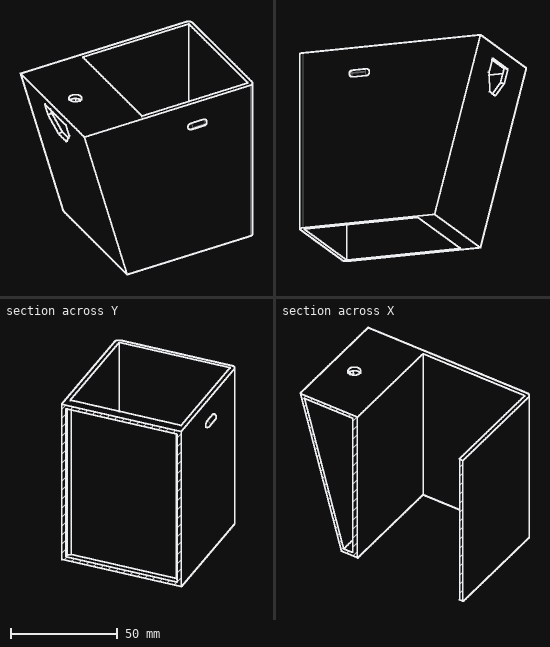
import cadquery as cq
import math

length = 91.0
width = 61.15
width_over_ribs = 64.2
height = 85.0
base_length = 68.1
back_y = length / 2
front_y = -length / 2
lean = (length - base_length) / height
back_corner_radius = 2.2

wall = 2.3
well_width = width - 2 * wall
back_wall = 2.1
well_length = 56.8
well_front_y = back_y - back_wall - well_length

chamber_wall = 2.2
front_wall = 2.1
chamber_corner = 1.5
chamber_back_y = well_front_y - chamber_wall
chamber_floor_z = chamber_wall
chamber_roof_z = height - chamber_wall

hole_diameter = 6.0
hole_from_front = 12.3

opening_width = 20.3
opening_base_width = 7.5
opening_top_drop = 5.8
opening_shoulder_drop = 12.6
opening_bottom_drop = 20.0
opening_cut_depth = 10.9

rib_length = 10.0
rib_height = 3.3
rib_protrusion = (width_over_ribs - width) / 2
rib_root = 0.9
rib_edge_radius = 1.5
rib_from_back = 30.6
rib_z = height - 12.6


def front_face_y(z):
    """Y of the leaning outer front face at height z."""
    return front_y + lean * (height - z)


def make_body():
    profile = [
        (back_y, 0),
        (back_y, height),
        (front_y, height),
        (front_face_y(0), 0),
    ]
    body = cq.Workplane("YZ").polyline(profile).close().extrude(width / 2, both=True)
    return body.edges("|Z and >Y").fillet(back_corner_radius)


def make_well():
    well = cq.Workplane("XY").box(well_width, well_length, height, centered=(True, False, False))
    return well.translate((0, well_front_y, 0))


def make_chamber():
    profile = [
        (chamber_back_y, chamber_floor_z),
        (chamber_back_y, chamber_roof_z),
        (front_face_y(chamber_roof_z) + front_wall, chamber_roof_z),
        (front_face_y(chamber_floor_z) + front_wall, chamber_floor_z),
    ]
    chamber = cq.Workplane("YZ").polyline(profile).close().extrude(well_width / 2, both=True)
    return chamber.edges("|Z and >Y").chamfer(chamber_corner)


def make_roof_hole():
    return (
        cq.Workplane("XY", origin=(0, front_y + hole_from_front, chamber_roof_z))
        .circle(hole_diameter / 2)
        .extrude(chamber_wall)
    )


def make_opening():
    """Flat-topped opening with sloping lower corners, cut square to the leaning face."""
    slope_stretch = math.hypot(1, lean)
    top = -opening_top_drop * slope_stretch
    shoulder = -opening_shoulder_drop * slope_stretch
    bottom = -opening_bottom_drop * slope_stretch
    outline = [
        (-opening_width / 2, top),
        (opening_width / 2, top),
        (opening_width / 2, shoulder),
        (opening_base_width / 2, bottom),
        (-opening_base_width / 2, bottom),
        (-opening_width / 2, shoulder),
    ]
    leaning_face = cq.Plane(origin=(0, front_y, height), xDir=(1, 0, 0), normal=(0, -1, -lean))
    return cq.Workplane(leaning_face).polyline(outline).close().extrude(-opening_cut_depth)


def make_rib(side):
    """Round-ended rib on the -X (side = -1) or +X (side = 1) wall, with a rounded crest."""
    root_x = side * (width / 2 - rib_root)
    rib = (
        cq.Workplane("YZ", origin=(root_x, back_y - rib_from_back, rib_z))
        .slot2D(rib_length, rib_height)
        .extrude(side * (rib_root + rib_protrusion))
    )
    crest = ">X" if side > 0 else "<X"
    return rib.faces(crest).edges().fillet(rib_edge_radius)


result = make_body().cut(make_well()).cut(make_chamber()).cut(make_roof_hole()).cut(make_opening())
for side in (-1, 1):
    result = result.union(make_rib(side))